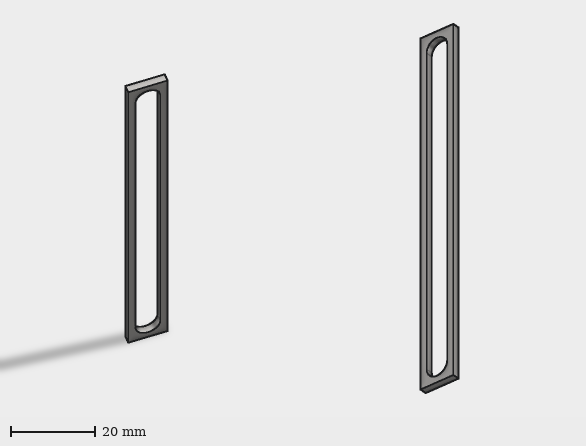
import cadquery as cq

thickness = 2.0
width = 10.0
height = 100.0

rim = 1.9
slot_width = width - 2 * rim
slot_length = height - 2 * rim

bar = cq.Workplane("XY").box(thickness, width, height)

slot = (
    cq.Workplane("YZ")
    .slot2D(slot_length, slot_width, angle=90)
    .extrude(thickness / 2, both=True)
)

result = bar.cut(slot)